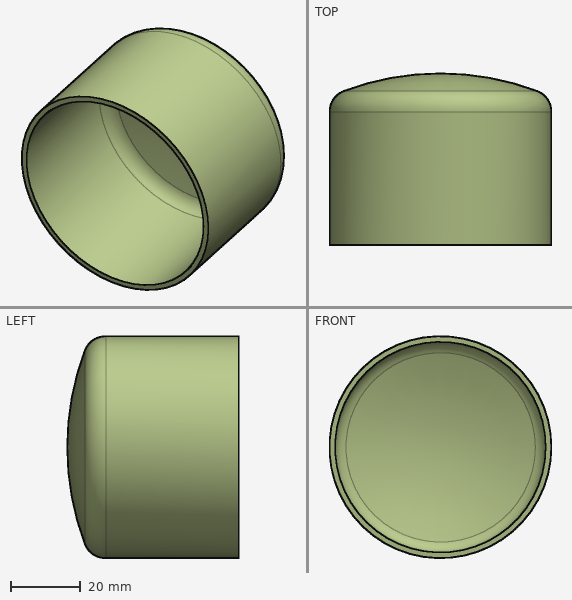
import cadquery as cq
import math

outer_radius = 31.75
wall = 1.65
skirt_length = 38.1
total_length = 49.1
knuckle_radius = 6.35

dome_height = total_length - skirt_length
knuckle_center_radius = outer_radius - knuckle_radius
crown_radius = (knuckle_center_radius**2 + dome_height**2 - knuckle_radius**2) / (
    2 * (dome_height - knuckle_radius)
)
crown_center_y = total_length - crown_radius
crown_angle = math.asin(knuckle_center_radius / (crown_radius - knuckle_radius))


def point_on_arc(center_x, center_y, radius, angle):
    """Point on an arc, with the angle measured from the Y axis toward +X."""
    return (center_x + radius * math.sin(angle), center_y + radius * math.cos(angle))


def domed_solid(inset):
    """Solid of revolution bounded by the outside surface moved inward by inset."""
    knuckle = knuckle_radius - inset
    crown = crown_radius - inset
    knuckle_middle_angle = (crown_angle + math.pi / 2) / 2
    knuckle_middle = point_on_arc(knuckle_center_radius, skirt_length, knuckle, knuckle_middle_angle)
    crown_edge = point_on_arc(0, crown_center_y, crown, crown_angle)
    crown_middle = point_on_arc(0, crown_center_y, crown, crown_angle / 2)
    return (
        cq.Workplane("XY")
        .lineTo(outer_radius - inset, 0)
        .lineTo(outer_radius - inset, skirt_length)
        .threePointArc(knuckle_middle, crown_edge)
        .threePointArc(crown_middle, (0, total_length - inset))
        .close()
        .revolve(360, (0, 0, 0), (0, 1, 0))
    )


result = domed_solid(0).cut(domed_solid(wall))